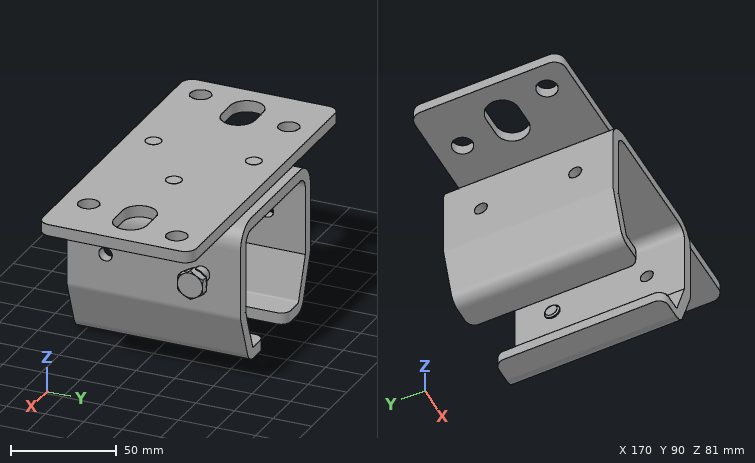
import cadquery as cq
import math

PLATE_LENGTH = 170.0
PLATE_WIDTH = 80.0
PLATE_THICKNESS = 6.0
PLATE_CORNER_RADIUS = 6.0

ROUND_HOLE_DIAMETER = 10.5
ROUND_HOLE_ROW_Y = 26.0
ROUND_HOLE_MEAN_X = 64.0
ROUND_HOLE_STAGGER = 7.0

SLOT_LENGTH = 27.0
SLOT_WIDTH = 17.0
SLOT_X = 61.5

DIMPLE_DIAMETER = 8.0
DIMPLE_DEPTH = 1.5
DIMPLE_X = 17.0

CHANNEL_WIDTH = 80.0
CHANNEL_HEIGHT = 75.0
CHANNEL_LENGTH = 90.0
WALL = 6.0
TOP_BEND_RADIUS = 12.0
KINK_HEIGHT = 28.0
LEAN_ANGLE = 20.0
LIP_BEND_INNER_RADIUS = 1.5
OPENING_WIDTH = 25.0
LIP_CORNER_RADIUS = 5.0

SIDE_HOLE_DIAMETER = 6.8
SIDE_HOLE_Y = 25.0
SIDE_HOLE_Z = 47.0

BOLT_DIAMETER = 8.0
BOLT_LENGTH = 16.0
BOLT_TIP_X = 32.5
BOLT_TIP_CHAMFER = 0.8
HEAD_ACROSS_FLATS = 13.0
HALF_FACET_ANGLE = 30.0
HEAD_HEIGHT = 5.3
WASHER_FACE_DIAMETER = 12.88
WASHER_FACE_HEIGHT = 0.6
UNDERHEAD_FILLET = 0.6
HEAD_CHAMFER_ANGLE = 30.0

HALF_WIDTH = CHANNEL_WIDTH / 2
UNDERHEAD_X = BOLT_TIP_X + BOLT_LENGTH


def make_plate():
    """Flat plate resting on the channel, with through holes, slots and round dimples."""
    plate = (
        cq.Workplane("XY", origin=(0, 0, CHANNEL_HEIGHT))
        .rect(PLATE_LENGTH, PLATE_WIDTH)
        .extrude(PLATE_THICKNESS)
        .edges("|Z")
        .fillet(PLATE_CORNER_RADIUS)
    )
    near_x = ROUND_HOLE_MEAN_X - ROUND_HOLE_STAGGER
    far_x = ROUND_HOLE_MEAN_X + ROUND_HOLE_STAGGER
    hole_centres = [
        (-near_x, ROUND_HOLE_ROW_Y),
        (far_x, ROUND_HOLE_ROW_Y),
        (-far_x, -ROUND_HOLE_ROW_Y),
        (near_x, -ROUND_HOLE_ROW_Y),
    ]
    slot_centres = [(-SLOT_X, 0), (SLOT_X, 0)]
    plate = (
        plate.faces(">Z").workplane(origin=(0, 0, 0))
        .pushPoints(hole_centres)
        .hole(ROUND_HOLE_DIAMETER)
    )
    plate = (
        plate.faces(">Z").workplane(origin=(0, 0, 0))
        .pushPoints(slot_centres)
        .slot2D(SLOT_LENGTH, SLOT_WIDTH)
        .cutThruAll()
    )
    ball_radius = ((DIMPLE_DIAMETER / 2) ** 2 + DIMPLE_DEPTH ** 2) / (2 * DIMPLE_DEPTH)
    ball_z = CHANNEL_HEIGHT + PLATE_THICKNESS - DIMPLE_DEPTH + ball_radius
    dimple_centres = [
        (-DIMPLE_X, ROUND_HOLE_ROW_Y),
        (-DIMPLE_X, -ROUND_HOLE_ROW_Y),
        (DIMPLE_X, 0),
    ]
    for x, y in dimple_centres:
        ball = cq.Workplane("XY", origin=(x, y, ball_z)).sphere(ball_radius)
        plate = plate.cut(ball)
    return plate


def sharp_channel_block(offset):
    """Solid block with the channel's outer section, sharp-cornered and shrunk inwards by offset."""
    lean = math.radians(LEAN_ANGLE)
    side = HALF_WIDTH - offset
    kink_z = KINK_HEIGHT - (WALL - offset) * math.tan(lean / 2)
    bottom_side = side - (kink_z - offset) * math.tan(lean)
    top = CHANNEL_HEIGHT - offset
    right_half = [(side, top), (side, kink_z), (bottom_side, offset)]
    left_half = [(-x, z) for x, z in reversed(right_half)]
    return (
        cq.Workplane("XZ")
        .polyline(right_half + left_half)
        .close()
        .extrude(CHANNEL_LENGTH / 2, both=True)
    )


def bend_edges(body, z_low, z_high):
    """Lengthwise edges of a body whose height lies between two limits."""
    reach = CHANNEL_WIDTH
    box = cq.selectors.BoxSelector((-reach, -reach, z_low), (reach, reach, z_high))
    return body.edges("|Y").edges(box)


def make_channel():
    """Bent C-channel with inward lips, opening downwards."""
    below_kink = KINK_HEIGHT / 2
    above_kink = (KINK_HEIGHT + CHANNEL_HEIGHT) / 2

    outer = sharp_channel_block(0)
    outer = bend_edges(outer, above_kink, 2 * CHANNEL_HEIGHT).fillet(TOP_BEND_RADIUS)
    outer = bend_edges(outer, below_kink, above_kink).fillet(WALL)
    outer = bend_edges(outer, -WALL, below_kink).fillet(LIP_BEND_INNER_RADIUS + WALL)

    inner = sharp_channel_block(WALL)
    inner = bend_edges(inner, above_kink, 2 * CHANNEL_HEIGHT).fillet(TOP_BEND_RADIUS - WALL)
    inner = bend_edges(inner, -WALL, below_kink).fillet(LIP_BEND_INNER_RADIUS)

    opening = cq.Workplane("XY").box(OPENING_WIDTH, CHANNEL_LENGTH, 2 * WALL)
    channel = outer.cut(inner).cut(opening)

    lip_reach = OPENING_WIDTH / 2 + LIP_CORNER_RADIUS
    lip_corners = cq.selectors.BoxSelector(
        (-lip_reach, -CHANNEL_LENGTH, -WALL),
        (lip_reach, CHANNEL_LENGTH, 2 * WALL),
    )
    channel = channel.edges("|Z").edges(lip_corners).fillet(LIP_CORNER_RADIUS)

    side_holes = (
        cq.Workplane("YZ")
        .pushPoints([(-SIDE_HOLE_Y, SIDE_HOLE_Z), (SIDE_HOLE_Y, SIDE_HOLE_Z)])
        .circle(SIDE_HOLE_DIAMETER / 2)
        .extrude(CHANNEL_WIDTH, both=True)
    )
    return channel.cut(side_holes)


def make_bolt():
    """Hexagon-head bolt along X, its head outside the +X wall and its tip just inside it."""
    def section_at(x):
        return cq.Workplane("YZ", origin=(x, SIDE_HOLE_Y, SIDE_HOLE_Z))

    shank = (
        section_at(BOLT_TIP_X)
        .circle(BOLT_DIAMETER / 2)
        .extrude(BOLT_LENGTH)
        .faces("<X")
        .chamfer(BOLT_TIP_CHAMFER)
    )
    washer_face = section_at(UNDERHEAD_X).circle(WASHER_FACE_DIAMETER / 2).extrude(WASHER_FACE_HEIGHT)

    across_corners = HEAD_ACROSS_FLATS / math.cos(math.radians(HALF_FACET_ANGLE))
    hex_height = HEAD_HEIGHT - WASHER_FACE_HEIGHT
    hexagon = (
        section_at(UNDERHEAD_X + WASHER_FACE_HEIGHT)
        .transformed(rotate=(0, 0, 90))
        .polygon(6, across_corners)
        .extrude(hex_height)
    )
    rim_width = (across_corners - HEAD_ACROSS_FLATS) / 2
    rim_height = rim_width * math.tan(math.radians(HEAD_CHAMFER_ANGLE))
    blank = (
        section_at(UNDERHEAD_X + WASHER_FACE_HEIGHT)
        .circle(across_corners / 2)
        .extrude(hex_height)
        .faces(">X")
        .chamfer(rim_height, rim_width)
    )
    head = hexagon.intersect(blank)

    bolt = shank.union(washer_face).union(head)
    reach = UNDERHEAD_FILLET / 2
    underhead_circles = cq.selectors.BoxSelector(
        (UNDERHEAD_X - reach, SIDE_HOLE_Y - reach, SIDE_HOLE_Z - reach),
        (UNDERHEAD_X + reach, SIDE_HOLE_Y + reach, SIDE_HOLE_Z + reach),
    )
    shank_circle = cq.selectors.RadiusNthSelector(0)
    return bolt.edges(underhead_circles).edges(shank_circle).fillet(UNDERHEAD_FILLET)


plate = make_plate()
bolt = make_bolt()
channel = make_channel().cut(bolt)

bodies = [body.solids().val() for body in (plate, channel, bolt)]
result = cq.Compound.makeCompound(bodies)